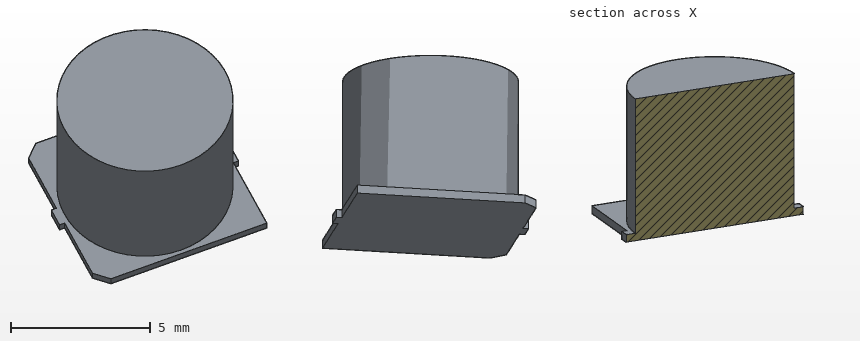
import cadquery as cq

overall_length = 7.0
overall_height = 5.4
base_side = 6.6
base_thickness = 0.3
corner_chamfer = 0.5
tab_width = 0.73
can_diameter = 6.3


def make_base():
    """Square plate with its two -Y corners cut off."""
    plate = cq.Workplane("XY").rect(base_side, base_side).extrude(base_thickness)
    return plate.edges("|Z and <Y").chamfer(corner_chamfer)


def make_tabs():
    """Bar across the plate whose ends stand out as the two terminal tabs."""
    return cq.Workplane("XY").rect(tab_width, overall_length).extrude(base_thickness)


def make_can():
    """Round can standing on the plate, centred on it."""
    return cq.Workplane("XY").circle(can_diameter / 2).extrude(overall_height)


result = make_base().union(make_tabs()).union(make_can())